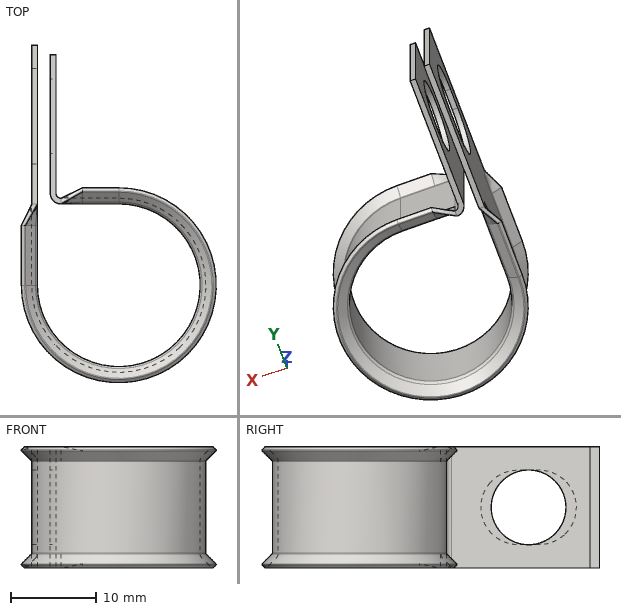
import cadquery as cq
import math


thickness = 0.69
strip_width = 14.27
loop_inner_radius = 9.525
loop_sweep = 270
loop_outer_radius = loop_inner_radius + thickness
half_width = strip_width / 2
diagonal = math.sqrt(0.5)

flare_angle = math.radians(45)
flare_outer_radius = 11.44
flare_bend_radius = 0.15
lip_radius = 0.1
transition_length = 2.5

long_tab_end = 28.17
short_tab_end = 27.03
short_tab_outer_x = -8.05
corner_outer_radius = 1.27
corner_inner_radius = corner_outer_radius - thickness
corner_x = short_tab_outer_x + corner_outer_radius
corner_y = loop_inner_radius + corner_outer_radius
long_tab_start = loop_inner_radius

side_flare_end = long_tab_start - transition_length
top_flare_end = corner_x + transition_length

screw_y = 19.84
screw_diameter = 8.74
slot_length = 11.2

sin_flare = math.sin(flare_angle)
cos_flare = math.cos(flare_angle)
corner_setback = lip_radius * (sin_flare + cos_flare - 1)
bend_center_radius = loop_outer_radius + flare_bend_radius
inner_bend_radius = flare_bend_radius + thickness
slope_start_radius = bend_center_radius - flare_bend_radius * cos_flare
slope_length = (flare_outer_radius + corner_setback - slope_start_radius) / sin_flare
flare_height = inner_bend_radius * sin_flare + slope_length * cos_flare - corner_setback
web_half_width = half_width - flare_height


def flare_point(depth, length):
    """Point at a depth below the outer sheet face and a length up the slope."""
    bend_radius = flare_bend_radius + depth
    return (
        bend_center_radius - bend_radius * cos_flare + length * sin_flare,
        web_half_width + bend_radius * sin_flare + length * cos_flare,
    )


def bend_midpoint(bend_radius):
    """Point halfway round the bend between wall and slope."""
    return (
        bend_center_radius - bend_radius * math.cos(flare_angle / 2),
        web_half_width + bend_radius * math.sin(flare_angle / 2),
    )


def flared_section(plane):
    """Sheet section that bends outward and ends square to its slope with rounded corners."""
    round_start = slope_length - lip_radius
    middle_depth = lip_radius * (1 - diagonal)
    round_middle = slope_length - middle_depth
    return (
        cq.Workplane(plane)
        .moveTo(loop_inner_radius, web_half_width)
        .lineTo(loop_outer_radius, web_half_width)
        .threePointArc(bend_midpoint(flare_bend_radius), flare_point(0, 0))
        .lineTo(*flare_point(0, round_start))
        .threePointArc(flare_point(middle_depth, round_middle), flare_point(lip_radius, slope_length))
        .lineTo(*flare_point(thickness - lip_radius, slope_length))
        .threePointArc(
            flare_point(thickness - middle_depth, round_middle),
            flare_point(thickness, round_start),
        )
        .lineTo(*flare_point(thickness, 0))
        .threePointArc(bend_midpoint(inner_bend_radius), (loop_inner_radius, web_half_width))
        .close()
    )


def flat_section(plane):
    """Unbent square-edged section, divided to pair with each edge of the flared one."""

    def split_height(bend_radius):
        arc_length = bend_radius * flare_angle
        return web_half_width + flare_height * arc_length / (arc_length + slope_length)

    return (
        cq.Workplane(plane)
        .moveTo(loop_inner_radius, web_half_width)
        .lineTo(loop_outer_radius, web_half_width)
        .lineTo(loop_outer_radius, split_height(flare_bend_radius))
        .lineTo(loop_outer_radius, half_width)
        .lineTo(loop_outer_radius - lip_radius, half_width)
        .lineTo(loop_inner_radius + lip_radius, half_width)
        .lineTo(loop_inner_radius, half_width)
        .lineTo(loop_inner_radius, split_height(inner_bend_radius))
        .close()
    )


def transition(flared_plane, flat_plane):
    """Ruled blend from the flared rim to the flat strip."""
    flared_wire = flared_section(flared_plane).val()
    flat_wire = flat_section(flat_plane).val()
    return cq.Workplane(cq.Solid.makeLoft([flared_wire, flat_wire], True))


def side_plane(y):
    """Section plane across the straight run on the -X side."""
    return cq.Plane(origin=(0, y, 0), xDir=(-1, 0, 0), normal=(0, 1, 0))


def top_plane(x):
    """Section plane across the straight run on the +Y side."""
    return cq.Plane(origin=(x, 0, 0), xDir=(0, 1, 0), normal=(1, 0, 0))


def make_rim():
    """Flared rim along the upper edge of the loop."""
    loop = flared_section(side_plane(0)).revolve(loop_sweep, (0, 0), (0, 1))
    side_run = flared_section(side_plane(0)).extrude(side_flare_end)
    top_run = flared_section(top_plane(top_flare_end)).extrude(-top_flare_end)
    side_transition = transition(side_plane(side_flare_end), side_plane(long_tab_start))
    top_transition = transition(top_plane(top_flare_end), top_plane(corner_x))
    return loop.union(side_run).union(top_run).union(side_transition).union(top_transition)


def make_web():
    """Plain wall between the two rims: the open loop and its straight runs."""
    return (
        cq.Workplane("XY")
        .moveTo(-loop_outer_radius, long_tab_start)
        .lineTo(-loop_outer_radius, 0)
        .threePointArc((loop_outer_radius * diagonal, -loop_outer_radius * diagonal), (0, loop_outer_radius))
        .lineTo(corner_x, loop_outer_radius)
        .lineTo(corner_x, loop_inner_radius)
        .lineTo(0, loop_inner_radius)
        .threePointArc((loop_inner_radius * diagonal, -loop_inner_radius * diagonal), (-loop_inner_radius, 0))
        .lineTo(-loop_inner_radius, long_tab_start)
        .close()
        .extrude(web_half_width, both=True)
    )


def make_long_tab():
    """Outer tab with a slot along Y."""
    tab = (
        cq.Workplane("XY")
        .moveTo(-loop_outer_radius, long_tab_start)
        .lineTo(-loop_inner_radius, long_tab_start)
        .lineTo(-loop_inner_radius, long_tab_end)
        .lineTo(-loop_outer_radius, long_tab_end)
        .close()
        .extrude(half_width, both=True)
    )
    slot = (
        cq.Workplane("YZ", origin=(-loop_outer_radius, screw_y, 0))
        .slot2D(slot_length, screw_diameter)
        .extrude(thickness)
    )
    return tab.cut(slot)


def make_short_tab():
    """Inner tab with its rounded corner and a round hole."""
    inner_x = short_tab_outer_x + thickness
    tab = (
        cq.Workplane("XY")
        .moveTo(short_tab_outer_x, short_tab_end)
        .lineTo(short_tab_outer_x, corner_y)
        .radiusArc((corner_x, loop_inner_radius), -corner_outer_radius)
        .lineTo(corner_x, loop_outer_radius)
        .radiusArc((inner_x, corner_y), corner_inner_radius)
        .lineTo(inner_x, short_tab_end)
        .close()
        .extrude(half_width, both=True)
    )
    hole = (
        cq.Workplane("YZ", origin=(short_tab_outer_x, screw_y, 0))
        .circle(screw_diameter / 2)
        .extrude(thickness)
    )
    return tab.cut(hole)


upper_rim = make_rim()
lower_rim = upper_rim.mirror("XY")

result = make_web().union(upper_rim).union(lower_rim).union(make_long_tab()).union(make_short_tab())